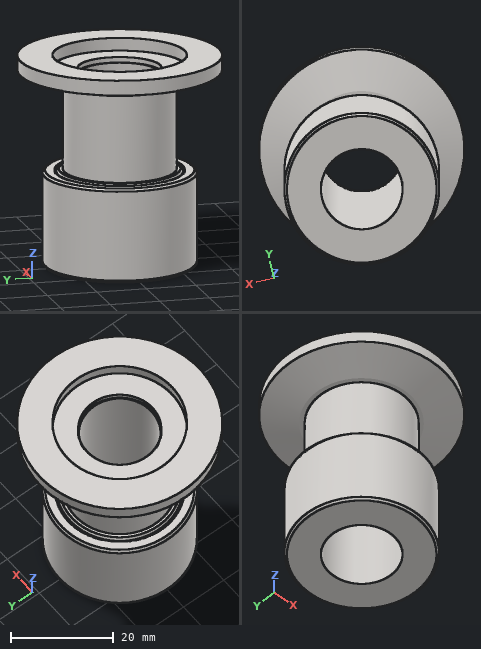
import cadquery as cq

total_height = 42.05
flange_radius = 40.02 / 2
flange_rim_height = 3.0
flange_height = 5.13
flange_base_radius = 12.15
recess_radius = 26.2 / 2
recess_depth = 2.55

tube_radius = 22.25 / 2
bore_radius = 15.9 / 2
bore_entry_radius = 16.25 / 2
bore_entry_depth = 1.1

collar_radius = 30.15 / 2
collar_height = 18.9
collar_chamfer = 0.5

lip_top_radius = 11.85
lip_height = 19.15
groove_inner_radius = 12.35
groove_outer_radius = 12.7
groove_depth = 0.3


def cylinder(radius, bottom, top):
    """Vertical cylinder on the part axis between two heights."""
    return cq.Workplane("XY").workplane(offset=bottom).circle(radius).extrude(top - bottom)


def outer_body():
    """Solid of revolution: collar, lip, tube and tapered flange."""
    groove_floor = collar_height - groove_depth
    profile = [
        (0, 0),
        (collar_radius - collar_chamfer, 0),
        (collar_radius, collar_chamfer),
        (collar_radius, collar_height - collar_chamfer),
        (collar_radius - collar_chamfer, collar_height),
        (groove_outer_radius, collar_height),
        (groove_outer_radius, groove_floor),
        (groove_inner_radius, groove_floor),
        (lip_top_radius, lip_height),
        (tube_radius, lip_height),
        (tube_radius, total_height - flange_height),
        (flange_base_radius, total_height - flange_height),
        (flange_radius, total_height - flange_rim_height),
        (flange_radius, total_height),
        (0, total_height),
    ]
    return cq.Workplane("XZ").polyline(profile).close().revolve(360, (0, 0, 0), (0, 1, 0))


recess_floor = total_height - recess_depth
recess = cylinder(recess_radius, recess_floor, total_height)
bore_entry = cylinder(bore_entry_radius, recess_floor - bore_entry_depth, recess_floor)
bore = cylinder(bore_radius, 0, recess_floor)

result = outer_body().cut(recess).cut(bore_entry).cut(bore)